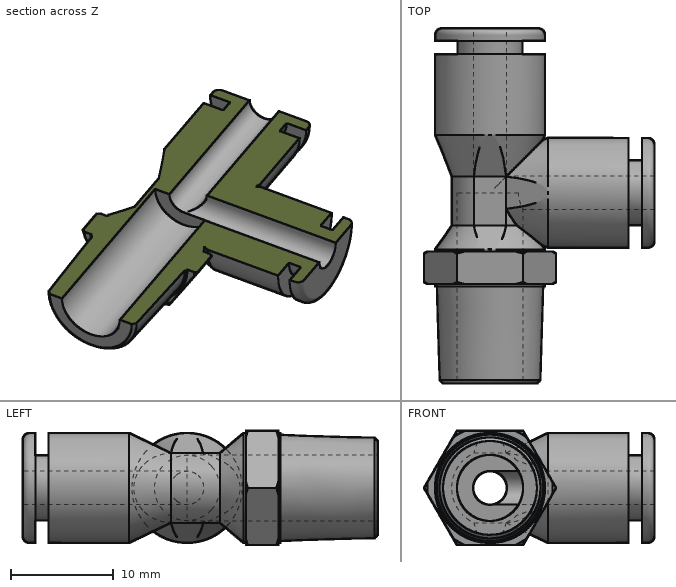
import cadquery as cq
import math

reach = 16.0
release_ring_thickness = 1.25
release_ring_round = 0.7
release_gap = 1.28
stem_radius = 3.18
socket_radius = 5.35
socket_start = 5.63
neck_radius = 3.73
neck_flat_height = 3.4
neck_flat_half_width = math.sqrt(neck_radius**2 - neck_flat_height**2)

overall_length = 34.55
thread_end = reach - overall_length
lower_neck_end = -3.18
lower_cone_end = -5.5
hex_top = -5.7
hex_bottom = -8.88
hex_across_flats = 11.12
hex_chamfer_radius = 6.08
hex_chamfer_slope = math.tan(math.radians(30))
collar_radius = 5.35
collar_end = -9.1
thread_start_radius = 5.18
thread_tip_radius = 4.9
tip_chamfer = 0.35

bore_radius = 1.62
inlet_radius = 3.2
inlet_floor = 0


def revolve_about_y(points):
    """Revolve a (radius, Y) outline about the Y axis."""
    return cq.Workplane("XY").polyline(points).close().revolve(360, (0, 0, 0), (0, 1, 0))


def yz_band(stations):
    """Prism along X, symmetric in Z, from (Y, half height) stations."""
    upper = list(stations)
    lower = [(y, -z) for y, z in reversed(stations)]
    return cq.Workplane("YZ").polyline(upper + lower).close().extrude(2 * socket_radius, both=True)


def make_socket():
    """Socket along +Y with its flattened cone, stem and release ring."""
    body_end = reach - release_ring_thickness - release_gap
    body = revolve_about_y([
        (0, 0),
        (neck_radius, 0),
        (neck_radius, neck_flat_half_width),
        (socket_radius, socket_start),
        (socket_radius, body_end),
        (stem_radius, body_end),
        (stem_radius, reach - release_ring_thickness),
        (0, reach - release_ring_thickness),
    ])
    flats = yz_band([
        (0, neck_flat_height),
        (neck_flat_half_width, neck_flat_height),
        (socket_start, socket_radius),
        (reach, socket_radius),
    ])
    ring = (
        cq.Workplane("XZ", origin=(0, reach, 0))
        .circle(socket_radius)
        .extrude(release_ring_thickness)
        .faces(">Y").edges().fillet(release_ring_round)
    )
    return body.intersect(flats).union(ring)


def make_lower_neck():
    """Flattened neck widening to the hexagon."""
    body = revolve_about_y([
        (0, 0),
        (neck_radius, 0),
        (neck_radius, lower_neck_end),
        (socket_radius, lower_cone_end),
        (socket_radius, hex_top),
        (0, hex_top),
    ])
    flats = yz_band([
        (0, neck_flat_height),
        (lower_neck_end, neck_flat_height),
        (lower_cone_end, socket_radius),
        (hex_top, socket_radius),
    ])
    return body.intersect(flats)


def make_hexagon():
    """Hexagon with flats at +Z and -Z and its corners chamfered at both ends."""
    corner_radius = hex_across_flats / math.sqrt(3)
    chamfer_depth = (corner_radius - hex_chamfer_radius) * hex_chamfer_slope
    prism = (
        cq.Workplane("XZ", origin=(0, hex_top, 0))
        .polygon(6, 2 * corner_radius)
        .extrude(hex_top - hex_bottom)
    )
    envelope = revolve_about_y([
        (0, hex_top),
        (hex_chamfer_radius, hex_top),
        (corner_radius, hex_top - chamfer_depth),
        (corner_radius, hex_bottom + chamfer_depth),
        (hex_chamfer_radius, hex_bottom),
        (0, hex_bottom),
    ])
    return prism.intersect(envelope)


def make_thread():
    """Collar and tapered thread body with a chamfered tip."""
    return revolve_about_y([
        (0, hex_bottom),
        (collar_radius, hex_bottom),
        (collar_radius, collar_end),
        (thread_start_radius, collar_end),
        (thread_tip_radius, thread_end + tip_chamfer),
        (thread_tip_radius - tip_chamfer, thread_end),
        (0, thread_end),
    ])


def make_bore(radius, start, end):
    """Cylinder along Y between two stations."""
    return cq.Workplane("XZ", origin=(0, end, 0)).circle(radius).extrude(end - start)


def turn_to_branch(shape):
    """Turn a shape lying along +Y onto +X."""
    return shape.rotate((0, 0, 0), (0, 0, 1), -90)


socket = make_socket()
outlet_bore = make_bore(bore_radius, 0, reach)
inlet_bore = make_bore(inlet_radius, thread_end, inlet_floor)

result = (
    socket
    .union(turn_to_branch(socket))
    .union(make_lower_neck())
    .union(make_hexagon())
    .union(make_thread())
    .cut(outlet_bore)
    .cut(turn_to_branch(outlet_bore))
    .cut(inlet_bore)
)